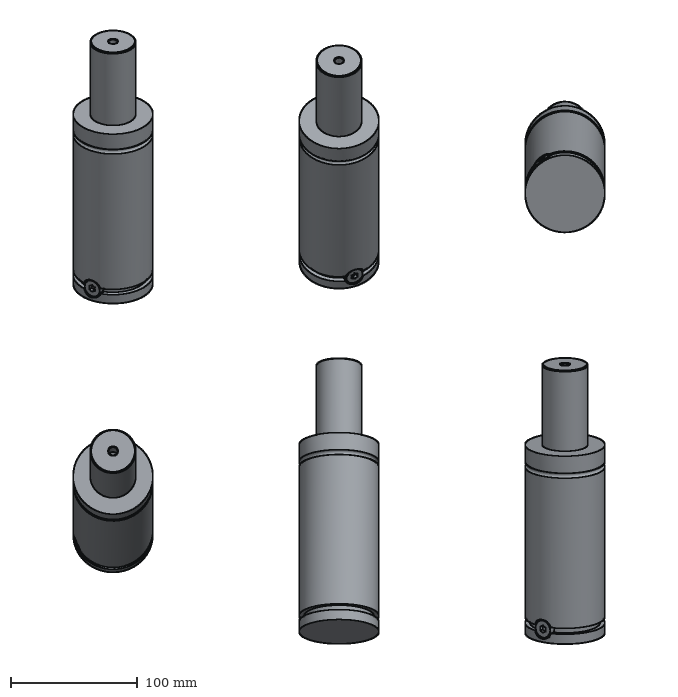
import cadquery as cq

total_height = 221.0
body_diameter = 63.0
body_height = 154.7
rod_diameter = 36.0
rod_chamfer = 0.9

round_groove_z = 138.5
round_groove_radius = 2.0

square_groove_bottom = 8.2
square_groove_top = 13.0
square_groove_diameter = 55.2

plug_z = (square_groove_bottom + square_groove_top) / 2
pocket_diameter = 16.0
plug_diameter = 14.0
plug_face_distance = 30.7
plug_length = 6.6
pocket_floor_distance = plug_face_distance - plug_length
socket_across_corners = 6.0
socket_depth = 3.3

rod_hole_diameter = 6.9
rod_hole_mouth_diameter = 8.0
rod_hole_depth = 13.3
drill_tip_height = 2.0

body_radius = body_diameter / 2
rod_hole_radius = rod_hole_diameter / 2


def make_body():
    """Body cylinder with both grooves cut around it."""
    body = cq.Workplane("XY").circle(body_radius).extrude(body_height)
    square_groove = (
        cq.Workplane("XY", origin=(0, 0, square_groove_bottom))
        .circle(body_diameter)
        .circle(square_groove_diameter / 2)
        .extrude(square_groove_top - square_groove_bottom)
    )
    round_groove = cq.Workplane("XY").add(
        cq.Solid.makeTorus(body_radius, round_groove_radius, cq.Vector(0, 0, round_groove_z))
    )
    return body.cut(square_groove).cut(round_groove)


def make_rod():
    """Piston rod with a chamfered free end."""
    return (
        cq.Workplane("XY", origin=(0, 0, body_height))
        .circle(rod_diameter / 2)
        .extrude(total_height - body_height)
        .faces(">Z")
        .chamfer(rod_chamfer)
    )


def make_rod_hole():
    """Cutter for the rod end hole: countersunk mouth and conical drill tip."""
    mouth_radius = rod_hole_mouth_diameter / 2
    mouth_bottom = total_height - (mouth_radius - rod_hole_radius)
    hole_bottom = total_height - rod_hole_depth
    profile = [
        (0, total_height),
        (mouth_radius, total_height),
        (rod_hole_radius, mouth_bottom),
        (rod_hole_radius, hole_bottom),
        (0, hole_bottom - drill_tip_height),
    ]
    return cq.Workplane("XZ").polyline(profile).close().revolve(360, (0, 0, 0), (0, 1, 0))


def plug_plane(distance):
    """Plane facing -Y at the given distance from the body axis, centred on the plug."""
    return cq.Workplane("XZ", origin=(0, -distance, plug_z))


def make_plug_pocket():
    """Cutter for the round pocket, leaving a narrow ring gap around the plug."""
    pocket_depth = body_radius - pocket_floor_distance
    return plug_plane(pocket_floor_distance).circle(pocket_diameter / 2).extrude(pocket_depth)


def make_plug():
    """Plug standing on the pocket floor, its hexagon socket with two corners along Z."""
    plug = plug_plane(pocket_floor_distance).circle(plug_diameter / 2).extrude(plug_length)
    socket = (
        plug_plane(plug_face_distance - socket_depth)
        .transformed(rotate=(0, 0, 90))
        .polygon(6, socket_across_corners)
        .extrude(socket_depth)
    )
    return plug.cut(socket)


housing = make_body().union(make_rod()).cut(make_rod_hole())
result = housing.cut(make_plug_pocket()).union(make_plug())